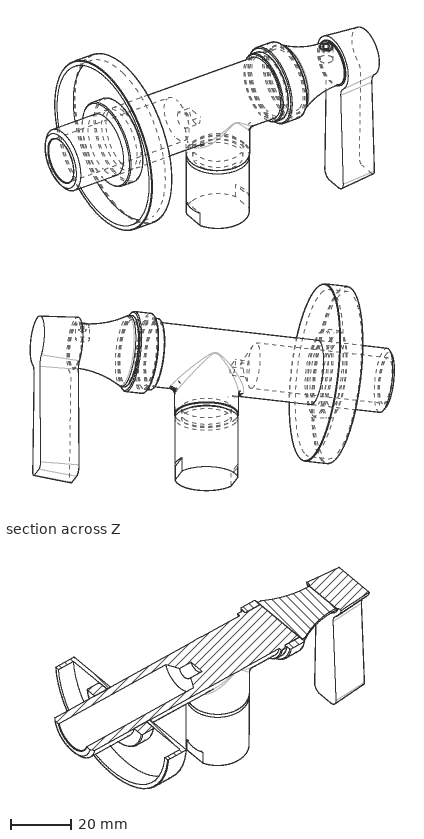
import cadquery as cq


overall_length = 121.3
tube_radius = 10.8
tube_chamfer_width = 1.2
tube_chamfer_length = 1.0
bore_radius = 7.6
bore_chamfer = 0.2
bore_length = 46.1
drill_tip_length = 4.6
port_radius = 3.3
port_straight_height = 0.8
port_end = 53.4

collar_start = 80.4
collar_radius = 12.0
collar_chamfer = 0.3
ring_start = 83.0
ring_end = 89.4
ring_radius = 13.5
ring_chamfer = 0.4

branch_y = 62.5
branch_radius = 10.7
branch_bottom = -19.7
branch_fillet = 1.8
branch_chamfer = 0.2
outlet_radius = 10.5
outlet_top = -20.9
outlet_bottom = -42.7
outlet_neck_radius = 8.4
neck_socket_depth = 2.4
flat_distance = 9.7
flat_top = -37.8

flange_diameter = 59.5
flange_radius = flange_diameter / 2
flange_start = 16.9
flange_end = 25.0
flange_wall = 1.7
flange_edge_chamfer = 0.2
bushing_radius = 14.8
bushing_length = 5.3
bushing_chamfer = 0.4

bell_rim_end = 91.1
bell_waist_y = 99.2
bell_waist_radius = 8.5
bell_tip_radius = 7.5
bell_edge_height = 0.5
bell_edge_width = 0.2

handle_start = 108.2
hub_radius = 9.5
hub_lip_radius = 8.0
hub_lip_height = 0.4
handle_draft_angle = 4.6
lever_left_top = -4.1
lever_left_bottom = -5.0
lever_right_top = 4.9
lever_right_bottom = 6.5
lever_bottom = -48.0
lever_corner_radius = 2.9
lever_root_z = -10.3

screw_y = 105.5
screw_radius = 2.3
screw_top = 7.5
screw_bottom = 2.4
screw_chamfer = 0.4
socket_radius = 1.3
socket_depth = 1.8


def cylinder_y(radius, start, end):
    """Cylinder on the tube axis between two Y positions."""
    return cq.Workplane("XZ", origin=(0, start, 0)).circle(radius).extrude(start - end)


def cylinder_z(radius, y, bottom, top):
    """Vertical cylinder centred at X = 0 and the given Y."""
    return cq.Workplane("XY", origin=(0, y, bottom)).circle(radius).extrude(top - bottom)


def revolve_about_tube(profile):
    """Close a (radius, Y) profile and turn it about the tube axis."""
    return profile.close().revolve(360, (0, 0, 0), (0, 1, 0))


def make_inlet_bore():
    profile = (
        cq.Workplane("XY")
        .lineTo(bore_radius + bore_chamfer, 0)
        .lineTo(bore_radius, bore_chamfer)
        .lineTo(bore_radius, bore_length)
        .lineTo(0, bore_length + drill_tip_length)
    )
    return revolve_about_tube(profile)


def make_half_round_port():
    """Half-round pocket below the axis at the end of the inlet bore."""
    return (
        cq.Workplane("XZ", origin=(0, bore_length, 0))
        .moveTo(-port_radius, 0)
        .lineTo(port_radius, 0)
        .lineTo(port_radius, -port_straight_height)
        .threePointArc((0, -port_straight_height - port_radius), (-port_radius, -port_straight_height))
        .close()
        .extrude(bore_length - port_end)
    )


def make_valve_body():
    profile = (
        cq.Workplane("XY")
        .lineTo(tube_radius - tube_chamfer_width, 0)
        .lineTo(tube_radius, tube_chamfer_length)
        .lineTo(tube_radius, ring_end)
        .lineTo(0, ring_end)
    )
    tube = revolve_about_tube(profile)
    branch = cylinder_z(branch_radius, branch_y, branch_bottom, 0)
    branch = branch.faces("<Z").edges().chamfer(branch_chamfer)
    junction = cq.selectors.BoxSelector(
        (-tube_radius, branch_y - tube_radius, -tube_radius),
        (tube_radius, branch_y + tube_radius, 0),
    )
    body = tube.union(branch).edges(junction).fillet(branch_fillet)
    collar = cylinder_y(collar_radius, collar_start, ring_start).edges().chamfer(collar_chamfer)
    neck_socket = cylinder_z(outlet_neck_radius, branch_y, branch_bottom, branch_bottom + neck_socket_depth)
    return body.union(collar).cut(make_inlet_bore()).cut(make_half_round_port()).cut(neck_socket)


def make_ring():
    ring = cylinder_y(ring_radius, ring_start, ring_end).edges().chamfer(ring_chamfer)
    return ring.cut(cylinder_y(tube_radius, ring_start, ring_end))


def make_outlet():
    barrel = cylinder_z(outlet_radius, branch_y, outlet_bottom, outlet_top)
    neck = cylinder_z(outlet_neck_radius, branch_y, outlet_top, branch_bottom + neck_socket_depth)
    flat_height = flat_top - outlet_bottom
    flatted_end = cylinder_z(outlet_radius, branch_y, outlet_bottom, flat_top)
    between_flats = cq.Workplane("XY", origin=(0, branch_y, outlet_bottom)).box(
        2 * outlet_radius, 2 * flat_distance, flat_height, centered=(True, True, False)
    )
    return barrel.cut(flatted_end.cut(between_flats)).union(neck)


def make_flange():
    floor_y = flange_end - flange_wall
    disc = cylinder_y(flange_radius, flange_start, flange_end).edges().chamfer(flange_edge_chamfer)
    recess = cylinder_y(flange_radius - flange_wall, flange_start, floor_y)
    tube_hole = cylinder_y(tube_radius, floor_y, flange_end)
    return disc.cut(recess).cut(tube_hole)


def make_bushing():
    seat_y = flange_end - flange_wall
    bushing = cylinder_y(bushing_radius, seat_y - bushing_length, seat_y)
    bushing = bushing.edges().chamfer(bushing_chamfer)
    return bushing.cut(cylinder_y(tube_radius, seat_y - bushing_length, seat_y))


def make_bell():
    bell_tip_y = handle_start - hub_lip_height
    profile = (
        cq.Workplane("XY")
        .moveTo(0, ring_end)
        .lineTo(collar_radius - collar_chamfer, ring_end)
        .lineTo(collar_radius, ring_end + collar_chamfer)
        .lineTo(collar_radius, bell_rim_end - bell_edge_height)
        .lineTo(collar_radius - bell_edge_width, bell_rim_end)
        .threePointArc((bell_waist_radius, bell_waist_y), (bell_tip_radius, bell_tip_y))
        .lineTo(0, bell_tip_y)
    )
    return revolve_about_tube(profile).cut(cylinder_z(screw_radius, screw_y, screw_bottom, tube_radius))


def root_arc_start(root, bottom):
    """Point on the hub where the arc that ends tangent to a lever side at its root begins."""
    side = (bottom - root).normalized()
    outward = cq.Vector(-side.y, side.x) if root.x > 0 else cq.Vector(side.y, -side.x)
    arc_radius = (hub_radius**2 - root.dot(root)) / (2 * (root.dot(outward) - hub_radius))
    arc_center = root + outward * arc_radius
    return arc_center.normalized() * hub_radius


def make_handle():
    """Hub and lever as one drafted outline, smaller at the end face, with a lip against the bell."""
    left_root = cq.Vector(lever_left_top, lever_root_z)
    left_bottom = cq.Vector(lever_left_bottom, lever_bottom)
    right_root = cq.Vector(lever_right_top, lever_root_z)
    right_bottom = cq.Vector(lever_right_bottom, lever_bottom)
    outline = (
        cq.Workplane("XY")
        .moveTo(left_bottom.x, left_bottom.y)
        .lineTo(right_bottom.x, right_bottom.y)
        .lineTo(right_root.x, right_root.y)
        .tangentArcPoint(root_arc_start(right_root, right_bottom), relative=False)
        .threePointArc((0, hub_radius), root_arc_start(left_root, left_bottom))
        .tangentArcPoint(left_root, relative=False)
        .close()
    )
    rounded = cq.Sketch().face(outline.val()).vertices("<Y").fillet(lever_corner_radius)
    handle = (
        cq.Workplane("XZ", origin=(0, handle_start, 0))
        .placeSketch(rounded)
        .extrude(handle_start - overall_length, taper=handle_draft_angle)
    )
    return handle.union(cylinder_y(hub_lip_radius, handle_start - hub_lip_height, handle_start))


def make_set_screw():
    screw = cylinder_z(screw_radius, screw_y, screw_bottom, screw_top)
    screw = screw.faces(">Z").edges().chamfer(screw_chamfer)
    return screw.faces(">Z").workplane().polygon(6, 2 * socket_radius).cutBlind(-socket_depth)


valve_body = make_valve_body()
ring = make_ring()
outlet = make_outlet()
flange = make_flange()
bushing = make_bushing()
bell = make_bell()
handle = make_handle()
set_screw = make_set_screw()

result = cq.Compound.makeCompound(
    [
        valve_body.val(),
        ring.val(),
        outlet.val(),
        flange.val(),
        bushing.val(),
        bell.val(),
        handle.val(),
        set_screw.val(),
    ]
)